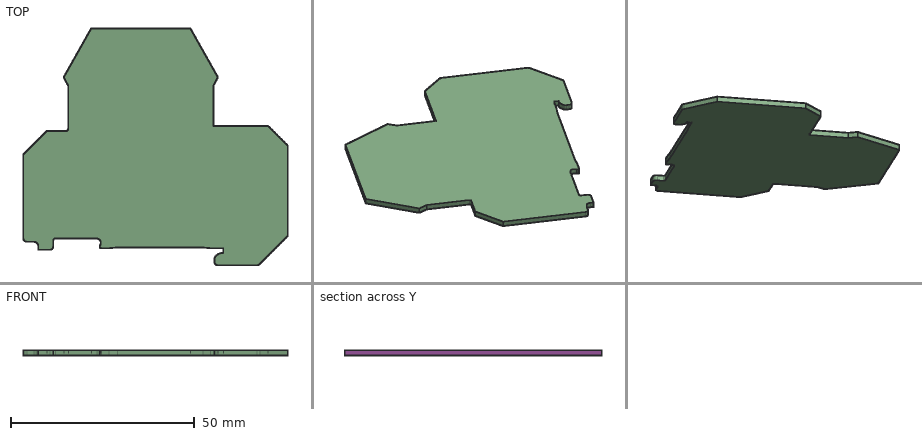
import cadquery as cq
import math

length = 72.0
height = 64.5
thickness = 1.5

head_centre_x = 32.0
head_top_half_width = 13.5
head_tip_half_width = 21.0
neck_half_width = 19.8
head_tip_y = 51.2
neck_top_y = 48.9

left_shoulder_y = 36.6
left_shoulder_chamfer = 6.4
right_shoulder_y = 38.0
right_shoulder_chamfer = 5.4
lower_right_chamfer = 8.0

heel_y = 6.4
foot_left_x = 4.1
foot_right_x = 8.2
foot_bottom_y = 4.2
foot_fillet = 1.25

slot_top_y = 7.3
slot_lip_x = 20.8
slot_end_radius = 1.15
slot_end_centre_x = 19.95
slot_end_centre_y = slot_top_y - slot_end_radius

bottom_y = 4.65
bottom_raise = 0.2
raise_left_start_x = 23.3
raise_left_end_x = 25.6
raise_right_start_x = 48.8
raise_right_end_x = 50.9

hook_root_x = 54.4
hook_tip_x = 52.0
hook_top_y = 3.4
hook_chamfer = 1.25
hook_top_fillet = 2.0

outer_radius = 1.0
inner_radius = 0.5


def arc_point(centre_x, centre_y, radius, angle):
    """Point on a circle at an angle in radians, measured from +X."""
    return (centre_x + radius * math.cos(angle), centre_y + radius * math.sin(angle))


def mirrored_x(half_width):
    """Left and right X of a head width about the head centre line."""
    return head_centre_x - half_width, head_centre_x + half_width


def make_outline():
    """Plate outline, counter-clockwise from the lower left corner."""
    top_left_x, top_right_x = mirrored_x(head_top_half_width)
    tip_left_x, tip_right_x = mirrored_x(head_tip_half_width)
    neck_left_x, neck_right_x = mirrored_x(neck_half_width)

    lip_angle = -math.acos((slot_lip_x - slot_end_centre_x) / slot_end_radius)
    slot_lip_point = arc_point(slot_end_centre_x, slot_end_centre_y, slot_end_radius, lip_angle)
    slot_side_point = arc_point(slot_end_centre_x, slot_end_centre_y, slot_end_radius, 0)

    return (
        cq.Workplane("XY")
        .moveTo(0, heel_y)
        .lineTo(foot_left_x, heel_y)
        .lineTo(foot_left_x, foot_bottom_y)
        .lineTo(foot_right_x, foot_bottom_y)
        .lineTo(foot_right_x, slot_top_y)
        .lineTo(slot_end_centre_x, slot_top_y)
        .threePointArc(slot_side_point, slot_lip_point)
        .lineTo(slot_lip_x, bottom_y)
        .lineTo(raise_left_start_x, bottom_y)
        .lineTo(raise_left_end_x, bottom_y + bottom_raise)
        .lineTo(raise_right_start_x, bottom_y + bottom_raise)
        .lineTo(raise_right_end_x, bottom_y)
        .lineTo(hook_root_x, bottom_y)
        .lineTo(hook_root_x, hook_top_y)
        .lineTo(hook_tip_x + hook_chamfer, hook_top_y)
        .lineTo(hook_tip_x, hook_top_y - hook_chamfer)
        .lineTo(hook_tip_x, 0)
        .lineTo(length - lower_right_chamfer, 0)
        .lineTo(length, lower_right_chamfer)
        .lineTo(length, right_shoulder_y - right_shoulder_chamfer)
        .lineTo(length - right_shoulder_chamfer, right_shoulder_y)
        .lineTo(neck_right_x, right_shoulder_y)
        .lineTo(neck_right_x, neck_top_y)
        .lineTo(tip_right_x, head_tip_y)
        .lineTo(top_right_x, height)
        .lineTo(top_left_x, height)
        .lineTo(tip_left_x, head_tip_y)
        .lineTo(neck_left_x, neck_top_y)
        .lineTo(neck_left_x, left_shoulder_y)
        .lineTo(left_shoulder_chamfer, left_shoulder_y)
        .lineTo(0, left_shoulder_y - left_shoulder_chamfer)
        .close()
    )


def round_corner(plate, x, y, radius):
    """Fillet the upright edge of the plate that stands at (x, y)."""
    corner = cq.selectors.NearestToPointSelector((x, y, thickness / 2))
    return plate.edges("|Z").edges(corner).fillet(radius)


rounded_corners = [
    (0, heel_y, outer_radius),
    (foot_left_x, heel_y, foot_fillet),
    (foot_right_x, foot_bottom_y, outer_radius),
    (foot_right_x, slot_top_y, inner_radius),
    (slot_lip_x, bottom_y, inner_radius),
    (hook_tip_x + hook_chamfer, hook_top_y, hook_top_fillet),
    (hook_tip_x, hook_top_y - hook_chamfer, outer_radius),
    (hook_tip_x, 0, outer_radius),
    (length - lower_right_chamfer, 0, outer_radius),
    (head_centre_x - neck_half_width, left_shoulder_y, inner_radius),
]

result = make_outline().extrude(thickness)
for corner_x, corner_y, corner_radius in rounded_corners:
    result = round_corner(result, corner_x, corner_y, corner_radius)